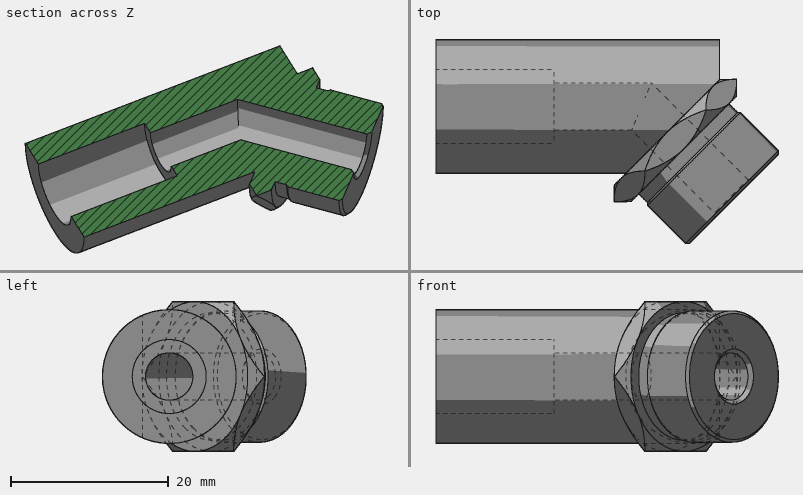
import cadquery as cq
import math

ELBOW_ANGLE = 45.0
ELBOW_X = 26.08

TUBE_DIAMETER = 17.0
TUBE_LENGTH = 36.0
SOCKET_DIAMETER = 9.4
SOCKET_DEPTH = 15.0
BORE_DIAMETER = 6.0

HEX_ACROSS_FLATS = 19.0
HEX_THICKNESS = 3.0
HEX_START = 4.6
HEX_END = HEX_START + HEX_THICKNESS
HEX_ACROSS_CORNERS = HEX_ACROSS_FLATS / math.cos(math.pi / 6)

PORT_DIAMETER = 16.7
PORT_LENGTH = 9.0
PORT_END = HEX_END + PORT_LENGTH
PORT_END_CHAMFER = 0.35
NECK_DIAMETER = 16.2
NECK_LENGTH = 1.55
PORT_START_CHAMFER = (PORT_DIAMETER - NECK_DIAMETER) / 2
MOUTH_DIAMETER = 7.0

PORT_DIRECTION = cq.Vector(
    math.cos(math.radians(ELBOW_ANGLE)), -math.sin(math.radians(ELBOW_ANGLE)), 0
)
ELBOW_POINT = cq.Vector(ELBOW_X, 0, 0)
ACROSS_DIRECTION = cq.Vector(0, 0, 1).cross(PORT_DIRECTION)


def port_plane(distance):
    """Plane square to the port axis at a distance from the elbow point."""
    return cq.Plane(
        origin=ELBOW_POINT + PORT_DIRECTION * distance,
        xDir=ACROSS_DIRECTION,
        normal=PORT_DIRECTION,
    )


def port_cylinder(diameter, start, end):
    return cq.Workplane(port_plane(start)).circle(diameter / 2).extrude(end - start)


def make_tube():
    """Straight tube, cut off where it reaches the back face of the hexagon."""
    tube = cq.Workplane("YZ").circle(TUBE_DIAMETER / 2).extrude(TUBE_LENGTH)
    cut_width = 2 * TUBE_LENGTH
    beyond_hex = cq.Workplane(port_plane(HEX_START)).rect(cut_width, cut_width).extrude(TUBE_LENGTH)
    return tube.cut(beyond_hex)


def make_hexagon():
    """Hexagon with flats facing +Z and -Z and 45 degree chamfers on both faces."""
    back_face = port_plane(HEX_START)
    hexagon = cq.Workplane(back_face).polygon(6, HEX_ACROSS_CORNERS).extrude(HEX_THICKNESS)
    face_radius = HEX_ACROSS_FLATS / 2
    middle_radius = face_radius + HEX_THICKNESS / 2
    section_plane = cq.Plane(back_face.origin, ACROSS_DIRECTION, cq.Vector(0, 0, -1))
    chamfer_envelope = (
        cq.Workplane(section_plane)
        .polyline(
            [
                (0, 0),
                (face_radius, 0),
                (middle_radius, HEX_THICKNESS / 2),
                (face_radius, HEX_THICKNESS),
                (0, HEX_THICKNESS),
            ]
        )
        .close()
        .revolve(360, (0, 0), (0, 1))
    )
    return hexagon.intersect(chamfer_envelope)


def make_port():
    """Relief neck and thread cylinder, the latter chamfered down to the neck and at its free end."""
    thread_start = HEX_END + NECK_LENGTH
    neck = port_cylinder(NECK_DIAMETER, HEX_END, thread_start)
    thread = port_cylinder(PORT_DIAMETER, thread_start, PORT_END)
    free_end_edge = cq.selectors.DirectionMinMaxSelector(PORT_DIRECTION)
    neck_end_edge = cq.selectors.DirectionMinMaxSelector(PORT_DIRECTION, directionMax=False)
    thread = thread.edges(free_end_edge).chamfer(PORT_END_CHAMFER)
    thread = thread.edges(neck_end_edge).chamfer(PORT_START_CHAMFER)
    return neck.union(thread)


def make_passage():
    """Mitred bore through both arms, with the tube socket and the countersunk port mouth."""
    path = cq.Workplane("XY").polyline(
        [(0, 0), (ELBOW_X, 0), port_plane(PORT_END).origin.toTuple()[:2]]
    )
    bore = cq.Workplane("YZ").circle(BORE_DIAMETER / 2).sweep(path, transition="right")
    socket = cq.Workplane("YZ").circle(SOCKET_DIAMETER / 2).extrude(SOCKET_DEPTH)
    mouth_depth = (MOUTH_DIAMETER - BORE_DIAMETER) / 2
    mouth = (
        cq.Workplane(port_plane(PORT_END))
        .circle(MOUTH_DIAMETER / 2)
        .workplane(offset=-mouth_depth)
        .circle(BORE_DIAMETER / 2)
        .loft()
    )
    return bore.union(socket).union(mouth)


result = make_tube().union(make_hexagon()).union(make_port()).cut(make_passage())